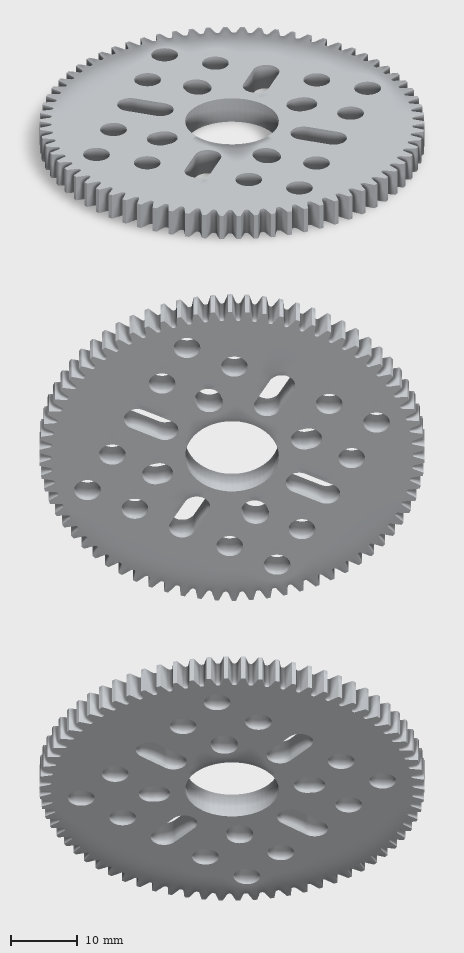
import cadquery as cq
import math

module = 0.8
tooth_count = 70
gear_thickness = 4.0
dedendum_factor = 1.25
pitch_radius = module * tooth_count / 2
tip_radius = pitch_radius + module
root_radius = pitch_radius - dedendum_factor * module
tooth_tip_width = 0.64
tooth_root_width = 1.87
root_fillet_radius = 0.36
first_tooth_angle = math.radians(90)
tooth_pitch_angle = 2 * math.pi / tooth_count

bore_diameter = 14.0
hole_diameter = 4.0
grid_pitch = 8.0
outer_hole_offset = 2 * grid_pitch
slot_inner_radius = grid_pitch * math.sqrt(2)
straight_slot_outer_radius = outer_hole_offset
diagonal_slot_outer_radius = 12.0


def polar_point(radius, angle):
    return (radius * math.cos(angle), radius * math.sin(angle))


def make_gear_blank():
    """Plate whose outline runs tooth by tooth, straight flanked, each followed by its gap."""
    half_root_angle = math.asin(tooth_root_width / 2 / root_radius)
    half_tip_angle = math.asin(tooth_tip_width / 2 / tip_radius)
    start = polar_point(root_radius, first_tooth_angle - half_root_angle)
    outline = cq.Workplane("XY").moveTo(*start)
    for tooth in range(tooth_count):
        centre = first_tooth_angle + tooth * tooth_pitch_angle
        next_centre = centre + tooth_pitch_angle
        outline = outline.lineTo(*polar_point(tip_radius, centre - half_tip_angle))
        outline = outline.threePointArc(
            polar_point(tip_radius, centre),
            polar_point(tip_radius, centre + half_tip_angle),
        )
        outline = outline.lineTo(*polar_point(root_radius, centre + half_root_angle))
        outline = outline.threePointArc(
            polar_point(root_radius, centre + tooth_pitch_angle / 2),
            polar_point(root_radius, next_centre - half_root_angle),
        )
    return outline.close().extrude(gear_thickness)


def round_tooth_roots(gear):
    """Fillet the upright edges where the flanks meet the root circle."""
    selection_radius = (root_radius + pitch_radius) / 2
    root_edges = [
        edge for edge in gear.edges("|Z").vals()
        if math.hypot(edge.Center().x, edge.Center().y) < selection_radius
    ]
    return gear.newObject(root_edges).fillet(root_fillet_radius)


def make_round_holes():
    """Bore plus the square grid holes outside the diagonal slots."""
    centres = []
    offsets = (-outer_hole_offset, -grid_pitch, grid_pitch, outer_hole_offset)
    for x in offsets:
        for y in offsets:
            if max(abs(x), abs(y)) == outer_hole_offset:
                centres.append((x, y))
    bore = cq.Workplane("XY").circle(bore_diameter / 2).extrude(gear_thickness)
    holes = cq.Workplane("XY").pushPoints(centres).circle(hole_diameter / 2).extrude(gear_thickness)
    return bore.union(holes)


def make_radial_slots(outer_radius, first_angle):
    """Four slots a quarter turn apart, given the radius of their outer end arc centres."""
    slot_length = outer_radius - slot_inner_radius + hole_diameter
    slot = (
        cq.Workplane("XY")
        .center((slot_inner_radius + outer_radius) / 2, 0)
        .slot2D(slot_length, hole_diameter)
        .extrude(gear_thickness)
    )
    slots = cq.Workplane("XY")
    for turn in (0, 90, 180, 270):
        slots = slots.add(slot.rotate((0, 0, 0), (0, 0, 1), first_angle + turn))
    return slots.combine()


gear = round_tooth_roots(make_gear_blank())
gear = gear.cut(make_round_holes())
gear = gear.cut(make_radial_slots(straight_slot_outer_radius, 0))
result = gear.cut(make_radial_slots(diagonal_slot_outer_radius, 45))